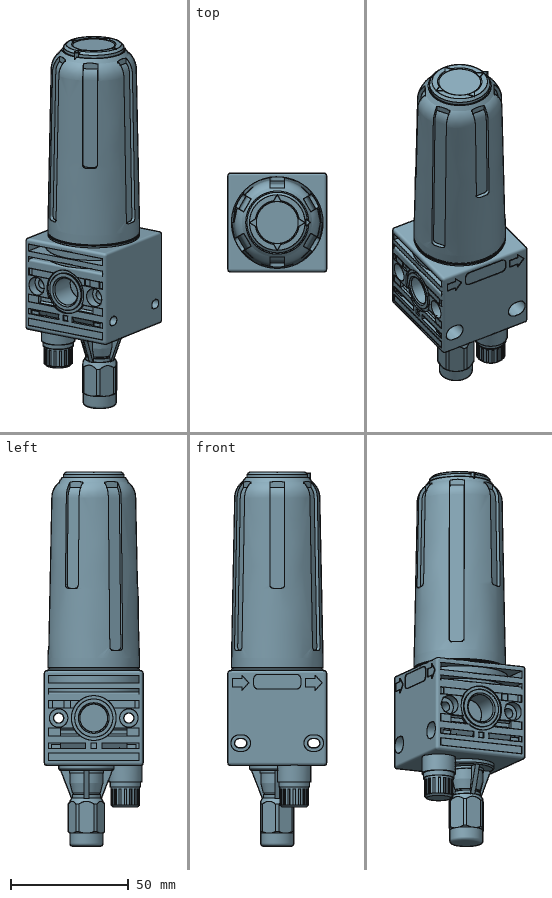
import cadquery as cq
import math


BODY_WIDTH = 42.0
TOTAL_HEIGHT = 158.85
BODY_HEIGHT = 40.3
DRAIN_LENGTH = 34.25
TOP_Z = TOTAL_HEIGHT - DRAIN_LENGTH
HALF_WIDTH = BODY_WIDTH / 2
MID_Z = BODY_HEIGHT / 2
BODY_FILLET = 1.2
OVERLAP = 0.5

BOWL_BASE_RADIUS = 19.45
COLLAR_TOP_Z = 45.6
COLLAR_GROOVE_Z = 41.0
COLLAR_GROOVE_WIDTH = 0.5
COLLAR_GROOVE_DEPTH = 0.5
SHOULDER_RADIUS = 18.1
SHOULDER_Z = 113.6
SHOULDER_ARC = 8.4
CONE_FOOT_Z = 120.2
CONE_TOP_RADIUS = 13.4
CONE_TOP_Z = 122.2
CAP_RADIUS = 12.85
CAP_CHAMFER = 1.1

DISH_RADIUS = 9.4
DISH_FLOOR_RADIUS = 8.9
DISH_DEPTH = 0.3
POINTER_TIP_RADIUS = 11.8
POINTER_HALF_WIDTH = 1.8
LUG_TIP_RADIUS = 14.1
LUG_HEIGHT = 2.9
LUG_TOP_DROP = 0.5

FLUTE_WIDTH = 6.3
FLUTE_DEPTH = 1.8
FLUTE_CORNER = 1.5
FLUTE_TOP_RADIUS = 14.6
SHORT_FLUTE_END_Z = 75.2
LONG_FLUTE_END_Z = 48.9
FLUTE_PITCH = 60
FIRST_SHORT_FLUTE = 30

PORT_RADIUS = 5.9
PORT_MOUTH_RADIUS = 6.5
PORT_DEPTH = 12.0
SEAL_OUTER_RADIUS = 9.5
SEAL_INNER_RADIUS = 8.1
SEAL_DEPTH = 0.8
SCREW_SPACING = 29.8
SCREW_DIAMETER = 4.2
SCREW_HEAD_DIAMETER = 7.8
SCREW_HEAD_DEPTH = 4.5

GROOVE_HALF_LENGTH = 19.1
SHALLOW = 0.2
UPPER_GROOVE = (35.0, 38.1)
LOWER_GROOVE = (30.3, 32.6)
CORE_RADIUS = 20.3
GROOVE_LIP = 1.0
PANEL_C = (24.5, 27.5)
PANEL_D = (12.6, 15.9)
PANEL_E = (7.3, 9.6)
PANEL_F = (2.1, 5.3)
SMALL_POCKET_DEPTH = 0.8
END_POCKET_INNER = 17.4
KEY_POCKET = (9.8, 12.65)
DEEP_POCKET_OUTER = 14.1
DEEP_POCKET_DEPTH = 2.0
DEEP_POCKET_CHAMFER = 0.8
PANEL_E_INNER = 3.5
PANEL_E_DEPTH = 1.5
STEP_POCKET_OUTER = 17.9
STEP_POCKET_TOP = 9.0
NOTCH_HALF_WIDTH = 1.2

MOUNT_SPACING = 31.0
MOUNT_Z = 9.5
MOUNT_STRETCH = 1.3
MOUNT_HEIGHT = 3.8
MOUNT_HEAD_HEIGHT = 7.0
MOUNT_HEAD_DEPTH = 10.0
PLATE_LENGTH = 20.0
PLATE_HEIGHT = 6.3
PLATE_CORNER = 2.0
MARK_Z = 35.55
ARROW_LENGTH = 7.0
ARROW_HEAD = 3.0
ARROW_HALF_HEIGHT = 3.2
ARROW_SHAFT_HALF = 1.75
ARROW_OFFSET = 15.55
ARROW_Z = 35.1

DRAIN_Y = 3.1
FLANGE_RADIUS = 11.8
FLANGE_THICKNESS = 2.0
FLANGE_CHAMFER = 0.6
NECK_RADIUS = 7.0
NECK_STRAIGHT_END = 7.6
NECK_TIP_RADIUS = 6.0
NECK_LENGTH = 11.6
NECK_COLLAR_RADIUS = 7.3
NECK_COLLAR_END = 3.1
NECK_GROOVE_RADIUS = 5.6
NECK_GROOVE_END = 12.3
FIN_THICKNESS = 2.0
FIN_TOP_RADIUS = 11.0
FIN_END = 14.1
FIN_TIP_RADIUS = 6.3
HEX_START = 13.8
HEX_END = 28.6
HEX_FLATS = 14.1
HEX_TURNED_RADIUS = 7.75
HEX_CONE_RADIUS = 6.3
HEX_CONE_LENGTH = 2.6
HEX_END_CHAMFER = 0.6
OUTLET_FILLET = 1.2

PLUG_X = 7.2
PLUG_Y = -13.4
PLUG_BOSS_RADIUS = 7.1
PLUG_BOSS_END = 6.9
PLUG_RING_RADIUS = 6.5
PLUG_RING_END = 9.0
KNOB_RADIUS = 6.1
KNOB_END = 17.6
KNOB_CHAMFER = 0.9
KNURL_COUNT = 16
KNURL_WIDTH = 0.9
KNURL_DEPTH = 0.3
KNURL_START = 9.9
KNURL_END = KNOB_END - KNOB_CHAMFER


def disc(radius, low, high):
    """Cylinder about Z between two heights."""
    return cq.Workplane("XY", origin=(0, 0, low)).circle(radius).extrude(high - low)


def shoulder_point(radius_of_arc, radius):
    """Point of an arc concentric with the bowl shoulder at the given bowl radius."""
    centre = SHOULDER_RADIUS - SHOULDER_ARC
    return radius, SHOULDER_Z + math.sqrt(radius_of_arc**2 - (radius - centre) ** 2)


def shoulder_middle(radius_of_arc, end):
    """Middle point of a shoulder arc running from the bowl side up to the end point."""
    centre = SHOULDER_RADIUS - SHOULDER_ARC
    half_angle = math.atan2(end[1] - SHOULDER_Z, end[0] - centre) / 2
    return (
        centre + radius_of_arc * math.cos(half_angle),
        SHOULDER_Z + radius_of_arc * math.sin(half_angle),
    )


def bowl_radius(z):
    """Radius of the tapered bowl side."""
    taper = (BOWL_BASE_RADIUS - SHOULDER_RADIUS) / (SHOULDER_Z - COLLAR_TOP_Z)
    return SHOULDER_RADIUS + taper * (SHOULDER_Z - z)


def make_bowl():
    rise = CONE_FOOT_Z - SHOULDER_Z
    arc_end = (SHOULDER_RADIUS - SHOULDER_ARC + math.sqrt(SHOULDER_ARC**2 - rise**2), CONE_FOOT_Z)
    bowl = (
        cq.Workplane("XZ")
        .moveTo(0, BODY_HEIGHT - OVERLAP)
        .lineTo(BOWL_BASE_RADIUS, BODY_HEIGHT - OVERLAP)
        .lineTo(BOWL_BASE_RADIUS, COLLAR_TOP_Z)
        .lineTo(SHOULDER_RADIUS, SHOULDER_Z)
        .threePointArc(shoulder_middle(SHOULDER_ARC, arc_end), arc_end)
        .lineTo(CONE_TOP_RADIUS, CONE_TOP_Z)
        .lineTo(CAP_RADIUS, CONE_TOP_Z)
        .lineTo(CAP_RADIUS, TOP_Z - CAP_CHAMFER)
        .lineTo(CAP_RADIUS - CAP_CHAMFER, TOP_Z)
        .lineTo(0, TOP_Z)
        .close()
        .revolve(360, (0, 0), (0, 1))
    )
    collar_groove = (
        cq.Workplane("XY", origin=(0, 0, COLLAR_GROOVE_Z))
        .circle(BOWL_BASE_RADIUS + OVERLAP)
        .circle(BOWL_BASE_RADIUS - COLLAR_GROOVE_DEPTH)
        .extrude(COLLAR_GROOVE_WIDTH)
    )
    bowl = bowl.cut(collar_groove)
    for step in range(0, 360 // FLUTE_PITCH, 2):
        short_angle = FIRST_SHORT_FLUTE + step * FLUTE_PITCH
        bowl = bowl.cut(make_flute(SHORT_FLUTE_END_Z, short_angle))
        bowl = bowl.cut(make_flute(LONG_FLUTE_END_Z, short_angle + FLUTE_PITCH))
    return finish_cap(bowl)


def make_flute(end_z, angle):
    """Cutter for a flat-floored flute that follows the bowl side and shoulder."""
    floor_arc = SHOULDER_ARC - FLUTE_DEPTH
    floor_end = shoulder_point(floor_arc, FLUTE_TOP_RADIUS)
    floor = (
        cq.Workplane("XZ", origin=(0, FLUTE_WIDTH / 2, 0))
        .moveTo(HALF_WIDTH, end_z)
        .lineTo(bowl_radius(end_z) - FLUTE_DEPTH, end_z)
        .lineTo(SHOULDER_RADIUS - FLUTE_DEPTH, SHOULDER_Z)
        .threePointArc(shoulder_middle(floor_arc, floor_end), floor_end)
        .lineTo(FLUTE_TOP_RADIUS, TOP_Z)
        .lineTo(HALF_WIDTH, TOP_Z)
        .close()
        .extrude(FLUTE_WIDTH)
    )
    outline = (
        cq.Workplane("XY", origin=(0, 0, end_z))
        .rect(2 * BODY_WIDTH, FLUTE_WIDTH)
        .extrude(TOP_Z - end_z)
        .edges("|X and <Z")
        .fillet(FLUTE_CORNER)
    )
    return floor.intersect(outline).rotate((0, 0, 0), (0, 0, 1), angle)


def finish_cap(bowl):
    """Shallow dish with four pointers in the cap, and one lug on its +X side."""
    dish = cq.Workplane("XY").add(
        cq.Solid.makeCone(DISH_FLOOR_RADIUS, DISH_RADIUS, DISH_DEPTH, cq.Vector(0, 0, TOP_Z - DISH_DEPTH))
    )
    pointer = (
        cq.Workplane("XY", origin=(0, 0, TOP_Z - DISH_DEPTH))
        .polyline(
            [
                (DISH_FLOOR_RADIUS, -POINTER_HALF_WIDTH),
                (POINTER_TIP_RADIUS, 0),
                (DISH_FLOOR_RADIUS, POINTER_HALF_WIDTH),
            ]
        )
        .close()
        .extrude(DISH_DEPTH)
    )
    bowl = bowl.cut(dish)
    for quarter in range(4):
        bowl = bowl.cut(pointer.rotate((0, 0, 0), (0, 0, 1), 90 * quarter))
    lug_root = CAP_RADIUS - CAP_CHAMFER
    lug = (
        cq.Workplane("XY", origin=(0, 0, TOP_Z - LUG_TOP_DROP - LUG_HEIGHT))
        .polyline([(lug_root, -POINTER_HALF_WIDTH), (LUG_TIP_RADIUS, 0), (lug_root, POINTER_HALF_WIDTH)])
        .close()
        .extrude(LUG_HEIGHT)
    )
    return bowl.union(lug)


def side_box(y_low, y_high, z_range, depth):
    """Box reaching the given depth into the -X side."""
    low, high = z_range
    return cq.Workplane("XY").box(depth, y_high - y_low, high - low, centered=False).translate(
        (-HALF_WIDTH, y_low, low)
    )


def side_cylinder(radius, depth, y=0.0):
    """Cylinder at port height reaching the given depth into the -X side."""
    return cq.Workplane("YZ", origin=(-HALF_WIDTH, y, MID_Z)).circle(radius).extrude(depth)


def core_grooves():
    """Two upper grooves that reach in to the round core of the body."""
    full = GROOVE_HALF_LENGTH
    low = LOWER_GROOVE[0]
    lip_edge = low + GROOVE_LIP
    diagonal = GROOVE_LIP * (1 - math.sqrt(0.5))
    lower = (
        cq.Workplane("XZ", origin=(0, full, 0))
        .moveTo(-HALF_WIDTH, LOWER_GROOVE[1])
        .lineTo(-HALF_WIDTH, low)
        .threePointArc(
            (-HALF_WIDTH + diagonal, lip_edge - diagonal), (-HALF_WIDTH + GROOVE_LIP, lip_edge)
        )
        .lineTo(0, lip_edge)
        .lineTo(0, LOWER_GROOVE[1])
        .close()
        .extrude(2 * full)
    )
    upper = side_box(-full, full, UPPER_GROOVE, HALF_WIDTH)
    return upper.union(lower).cut(disc(CORE_RADIUS, 0, BODY_HEIGHT))


def sloped_pocket():
    """Pocket below the port whose floor gets deeper towards its lower edge."""
    low, high = PANEL_E
    return (
        cq.Workplane("XZ", origin=(0, DEEP_POCKET_OUTER, 0))
        .polyline(
            [
                (-HALF_WIDTH, low),
                (-HALF_WIDTH + PANEL_E_DEPTH, low),
                (-HALF_WIDTH + SHALLOW, high),
                (-HALF_WIDTH, high),
            ]
        )
        .close()
        .extrude(DEEP_POCKET_OUTER - PANEL_E_INNER)
    )


def relief_pockets():
    """Shallow panels and small pockets around the port."""
    full = GROOVE_HALF_LENGTH
    cutter = side_box(-full, full, PANEL_F, SHALLOW)
    for panel in (PANEL_C, PANEL_D):
        cutter = cutter.union(side_box(-full, full, panel, SHALLOW))
    cutter = cutter.union(side_box(*KEY_POCKET, PANEL_C, SMALL_POCKET_DEPTH))
    deep = (
        side_box(0, DEEP_POCKET_OUTER, PANEL_D, DEEP_POCKET_DEPTH)
        .edges("|Y and >X")
        .chamfer(DEEP_POCKET_CHAMFER)
    )
    half = (
        side_box(END_POCKET_INNER, full, PANEL_C, SMALL_POCKET_DEPTH)
        .union(deep)
        .union(side_box(PANEL_E_INNER, full, PANEL_E, SHALLOW))
        .union(sloped_pocket())
        .union(
            side_box(
                DEEP_POCKET_OUTER, STEP_POCKET_OUTER, (PANEL_E[0], STEP_POCKET_TOP), SMALL_POCKET_DEPTH
            )
        )
    )
    cutter = cutter.union(half).union(half.mirror("XZ"))
    cutter = cutter.union(side_box(-NOTCH_HALF_WIDTH, NOTCH_HALF_WIDTH, PANEL_E, SMALL_POCKET_DEPTH))
    return cutter.cut(side_cylinder(SEAL_OUTER_RADIUS, DEEP_POCKET_DEPTH))


def port_and_screw_heads():
    """Blind port with a countersunk mouth and seal groove, and two screw-head recesses."""
    mouth = cq.Workplane("XY").add(
        cq.Solid.makeCone(
            PORT_MOUTH_RADIUS,
            PORT_RADIUS,
            PORT_MOUTH_RADIUS - PORT_RADIUS,
            cq.Vector(-HALF_WIDTH, 0, MID_Z),
            cq.Vector(1, 0, 0),
        )
    )
    seal = side_cylinder(SEAL_OUTER_RADIUS, SEAL_DEPTH).cut(side_cylinder(SEAL_INNER_RADIUS, SEAL_DEPTH))
    cutter = side_cylinder(PORT_RADIUS, PORT_DEPTH).union(mouth).union(seal)
    for side in (-1, 1):
        head = side_cylinder(SCREW_HEAD_DIAMETER / 2, SCREW_HEAD_DEPTH, side * SCREW_SPACING / 2)
        cutter = cutter.union(head)
    return cutter


def mounting_slot(x):
    """Oblong hole through the body along Y with an oblong head recess in the front."""
    front = cq.Workplane("XZ", origin=(x, -HALF_WIDTH, MOUNT_Z))
    through = front.slot2D(MOUNT_HEIGHT + MOUNT_STRETCH, MOUNT_HEIGHT).extrude(-BODY_WIDTH)
    head = front.slot2D(MOUNT_HEAD_HEIGHT + MOUNT_STRETCH, MOUNT_HEAD_HEIGHT).extrude(-MOUNT_HEAD_DEPTH)
    return through.union(head)


def front_markings():
    """Shallow name-plate recess and two flow arrows pointing along +X."""
    cutter = (
        cq.Workplane("XZ", origin=(0, -HALF_WIDTH, MARK_Z))
        .rect(PLATE_LENGTH, PLATE_HEIGHT)
        .extrude(-SHALLOW)
        .edges("|Y")
        .fillet(PLATE_CORNER)
    )
    tail = -ARROW_LENGTH / 2
    neck = ARROW_LENGTH / 2 - ARROW_HEAD
    for side in (-1, 1):
        arrow = (
            cq.Workplane("XZ", origin=(side * ARROW_OFFSET, -HALF_WIDTH, ARROW_Z))
            .polyline(
                [
                    (tail, -ARROW_SHAFT_HALF),
                    (neck, -ARROW_SHAFT_HALF),
                    (neck, -ARROW_HALF_HEIGHT),
                    (ARROW_LENGTH / 2, 0),
                    (neck, ARROW_HALF_HEIGHT),
                    (neck, ARROW_SHAFT_HALF),
                    (tail, ARROW_SHAFT_HALF),
                ]
            )
            .close()
            .extrude(-SHALLOW)
        )
        cutter = cutter.union(arrow)
    return cutter


def make_body():
    body = cq.Workplane("XY").box(BODY_WIDTH, BODY_WIDTH, BODY_HEIGHT, centered=(True, True, False))
    body = body.edges().fillet(BODY_FILLET)
    for cutter in (core_grooves(), relief_pockets(), port_and_screw_heads()):
        body = body.cut(cutter).cut(cutter.mirror("YZ"))
    for side in (-1, 1):
        body = body.cut(side_cylinder(SCREW_DIAMETER / 2, BODY_WIDTH, side * SCREW_SPACING / 2))
        body = body.cut(mounting_slot(side * MOUNT_SPACING / 2))
    return body.cut(front_markings())


def make_hex():
    """Hexagon with corners on Y, turned down at its corners and coned at its upper end."""
    corner_diameter = HEX_FLATS / math.cos(math.radians(30))
    hexagon = (
        cq.Workplane("XY", origin=(0, 0, -HEX_END))
        .transformed(rotate=(0, 0, 30))
        .polygon(6, corner_diameter)
        .extrude(HEX_END - HEX_START)
    )
    turned = (
        cq.Workplane("XZ")
        .polyline(
            [
                (0, -HEX_START),
                (HEX_CONE_RADIUS, -HEX_START),
                (HEX_TURNED_RADIUS, -HEX_START - HEX_CONE_LENGTH),
                (HEX_TURNED_RADIUS, -HEX_END + HEX_END_CHAMFER),
                (HEX_TURNED_RADIUS - HEX_END_CHAMFER, -HEX_END),
                (0, -HEX_END),
            ]
        )
        .close()
        .revolve(360, (0, 0), (0, 1))
    )
    return hexagon.intersect(turned)


def make_drain():
    flange = disc(FLANGE_RADIUS, -FLANGE_THICKNESS, OVERLAP).faces("<Z").chamfer(FLANGE_CHAMFER)
    neck = (
        cq.Workplane("XZ")
        .polyline(
            [
                (0, 0),
                (NECK_COLLAR_RADIUS, 0),
                (NECK_COLLAR_RADIUS, -NECK_COLLAR_END),
                (NECK_RADIUS, -NECK_COLLAR_END),
                (NECK_RADIUS, -NECK_STRAIGHT_END),
                (NECK_TIP_RADIUS, -NECK_LENGTH),
                (NECK_GROOVE_RADIUS, -NECK_LENGTH),
                (NECK_GROOVE_RADIUS, -NECK_GROOVE_END),
                (NECK_TIP_RADIUS, -NECK_GROOVE_END),
                (NECK_TIP_RADIUS, -HEX_START - OVERLAP),
                (0, -HEX_START - OVERLAP),
            ]
        )
        .close()
        .revolve(360, (0, 0), (0, 1))
    )
    fin = (
        cq.Workplane("XZ", origin=(0, FIN_THICKNESS / 2, 0))
        .polyline(
            [
                (-FIN_TOP_RADIUS, -FLANGE_THICKNESS + OVERLAP),
                (FIN_TOP_RADIUS, -FLANGE_THICKNESS + OVERLAP),
                (FIN_TOP_RADIUS, -FLANGE_THICKNESS),
                (FIN_TIP_RADIUS, -FIN_END),
                (-FIN_TIP_RADIUS, -FIN_END),
                (-FIN_TOP_RADIUS, -FLANGE_THICKNESS),
            ]
        )
        .close()
        .extrude(FIN_THICKNESS)
    )
    outlet = disc(HEX_FLATS / 2, -DRAIN_LENGTH, -HEX_END + OVERLAP).faces("<Z").edges().fillet(OUTLET_FILLET)
    drain = flange.union(neck).union(fin).union(fin.rotate((0, 0, 0), (0, 0, 1), 90))
    drain = drain.union(make_hex()).union(outlet)
    return drain.translate((0, DRAIN_Y, 0))


def make_plug():
    knob = disc(KNOB_RADIUS, -KNOB_END, -PLUG_RING_END + OVERLAP).faces("<Z").chamfer(KNOB_CHAMFER)
    knurl = cq.Workplane("XY", origin=(KNOB_RADIUS, 0, -KNURL_END)).rect(2 * KNURL_DEPTH, KNURL_WIDTH)
    knurl = knurl.extrude(KNURL_END - KNURL_START)
    for index in range(KNURL_COUNT):
        knob = knob.cut(knurl.rotate((0, 0, 0), (0, 0, 1), index * 360 / KNURL_COUNT))
    plug = disc(PLUG_BOSS_RADIUS, -PLUG_BOSS_END, OVERLAP)
    plug = plug.union(disc(PLUG_RING_RADIUS, -PLUG_RING_END, -PLUG_BOSS_END + OVERLAP)).union(knob)
    return plug.translate((PLUG_X, PLUG_Y, 0))


body = make_body()
result = body.union(make_bowl()).union(make_drain()).union(make_plug())